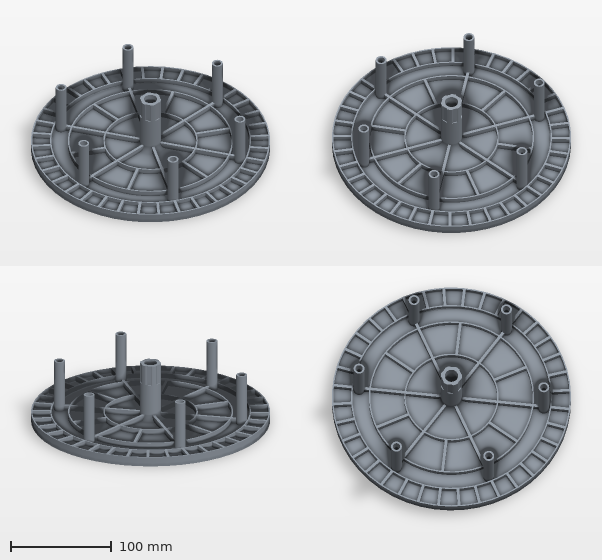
import cadquery as cq
import math

disc_radius = 236.91 / 2
disc_height = 9.5
floor_thickness = 4.0

rim_wall = (117.0, disc_radius)
track_wall = (98.2, 99.4)
wall_fillet_radius = 0.9
fillet_root = 0.5
middle_ring = (80.4, 81.8)
inner_ring = (45.4, 46.8)

rib_width = 2.8
rim_rib_count = 36
spoke_count = 6
spoke_step = 360 / spoke_count

hub_radius = 10.5
hub_bore_radius = 6.5
hub_top = 61.86
hub_groove_floor = 9.6
hub_groove_floor_width = 4.3
hub_groove_wall_angle = 60
hub_groove_length = 20.0
hub_groove_overrun = 1.0
hub_fillet_radius = 5.2

post_circle_radius = 92.0
post_radius = 5.4
post_bore_radius = 3.6
post_top = 56.5


def cylinder(radius, bottom, top):
    """Solid cylinder about Z between two heights."""
    return cq.Workplane("XY").workplane(offset=bottom).circle(radius).extrude(top - bottom)


def ring(inner_radius, outer_radius):
    """Circular wall rising from the underside of the disc to its full height."""
    return cq.Workplane("XY").circle(outer_radius).circle(inner_radius).extrude(disc_height)


def radial_rib(start, end, angle):
    """Straight rib between two radii, turned to the given angle about Z."""
    rib = cq.Workplane("XY").box(end - start, rib_width, disc_height, centered=(False, True, False))
    return rib.translate((start, 0, 0)).rotate((0, 0, 0), (0, 0, 1), angle)


def middle(wall):
    """Mid radius of a circular wall, where the ribs that meet it end."""
    return sum(wall) / 2


def floor_fillet(wall_radius, fillet_radius, side):
    """Concave ring between the floor and a round wall, outside it (side = 1) or inside it (side = -1)."""
    arc_reach = fillet_radius * (1 - math.sqrt(0.5))
    return (
        cq.Workplane("XZ")
        .moveTo(wall_radius - side * fillet_root, 0)
        .lineTo(wall_radius + side * fillet_radius, 0)
        .lineTo(wall_radius + side * fillet_radius, floor_thickness)
        .threePointArc(
            (wall_radius + side * arc_reach, floor_thickness + arc_reach),
            (wall_radius, floor_thickness + fillet_radius),
        )
        .lineTo(wall_radius - side * fillet_root, floor_thickness + fillet_radius)
        .close()
        .revolve(360, (0, 0, 0), (0, 1, 0))
    )


def make_disc():
    """Flat floor carrying the rim, the track wall inside it and the two inner rings."""
    disc = cylinder(disc_radius, 0, floor_thickness)
    for wall in (rim_wall, track_wall, middle_ring, inner_ring):
        disc = disc.union(ring(*wall))
    disc = disc.union(floor_fillet(rim_wall[0], wall_fillet_radius, -1))
    disc = disc.union(floor_fillet(track_wall[1], wall_fillet_radius, 1))
    return disc.union(floor_fillet(track_wall[0], wall_fillet_radius, -1))


def add_rim_ribs(body):
    """Evenly spaced ribs that divide the channel inside the rim into pockets."""
    for i in range(rim_rib_count):
        angle = i * 360 / rim_rib_count
        body = body.union(radial_rib(middle(track_wall), middle(rim_wall), angle))
    return body


def add_spokes(body):
    """Long spokes from hub to posts, with short ribs between the two rings halfway between them."""
    spoke_start = (hub_bore_radius + hub_radius) / 2
    for i in range(spoke_count):
        angle = i * spoke_step
        body = body.union(radial_rib(spoke_start, post_circle_radius, angle))
        halfway = angle + spoke_step / 2
        body = body.union(radial_rib(middle(inner_ring), middle(middle_ring), halfway))
    return body


def make_hub():
    """Round hub with a concave flare at the floor and six grooves along its upper end."""
    hub = cylinder(hub_radius, 0, hub_top).union(floor_fillet(hub_radius, hub_fillet_radius, 1))
    half_floor = hub_groove_floor_width / 2
    mouth_radius = hub_radius + hub_groove_overrun
    half_mouth = half_floor + (mouth_radius - hub_groove_floor) * math.tan(math.radians(hub_groove_wall_angle))
    groove = (
        cq.Workplane("XY")
        .workplane(offset=hub_top - hub_groove_length)
        .polyline([
            (hub_groove_floor, -half_floor),
            (mouth_radius, -half_mouth),
            (mouth_radius, half_mouth),
            (hub_groove_floor, half_floor),
        ])
        .close()
        .extrude(hub_groove_length)
    )
    for i in range(spoke_count):
        hub = hub.cut(groove.rotate((0, 0, 0), (0, 0, 1), (i + 0.5) * spoke_step))
    return hub


def add_posts(body):
    """Six tubular posts, bored through the disc."""
    for i in range(spoke_count):
        angle = math.radians(i * spoke_step)
        place = (post_circle_radius * math.cos(angle), post_circle_radius * math.sin(angle), 0)
        body = body.union(cylinder(post_radius, 0, post_top).translate(place))
        body = body.cut(cylinder(post_bore_radius, 0, post_top).translate(place))
    return body


body = make_disc()
body = add_rim_ribs(body)
body = add_spokes(body)
body = body.union(make_hub())
body = add_posts(body)
result = body.cut(cylinder(hub_bore_radius, 0, hub_top))